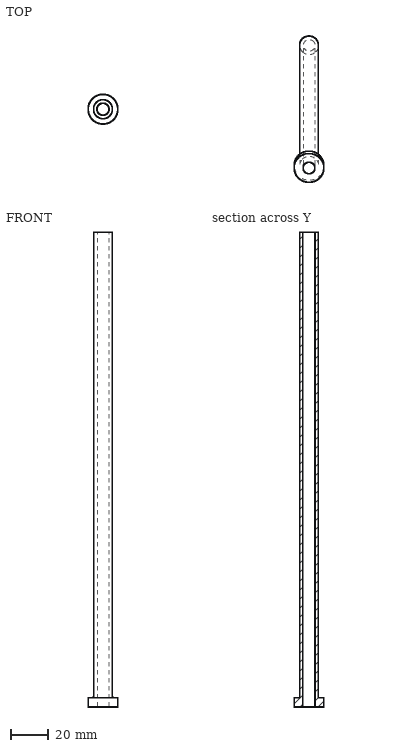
import cadquery as cq

total_length = 255.0
head_diameter = 16.0
head_height = 5.0
tube_diameter = 10.2
bore_diameter = 6.5
root_fillet = 0.5

head_radius = head_diameter / 2
tube_radius = tube_diameter / 2
bottom = -total_length / 2
head_top = bottom + head_height

head = cq.Workplane("XY", origin=(0, 0, bottom)).circle(head_radius).extrude(head_height)
tube = cq.Workplane("XY", origin=(0, 0, bottom)).circle(tube_radius).extrude(total_length)
body = head.union(tube)

root_zone = cq.selectors.BoxSelector(
    (-tube_radius, -tube_radius, head_top - root_fillet),
    (tube_radius, tube_radius, head_top + root_fillet),
    boundingbox=False,
)
tube_root = body.edges(root_zone).edges(cq.selectors.RadiusNthSelector(0))
body = tube_root.fillet(root_fillet)

result = body.faces(">Z").workplane().hole(bore_diameter)